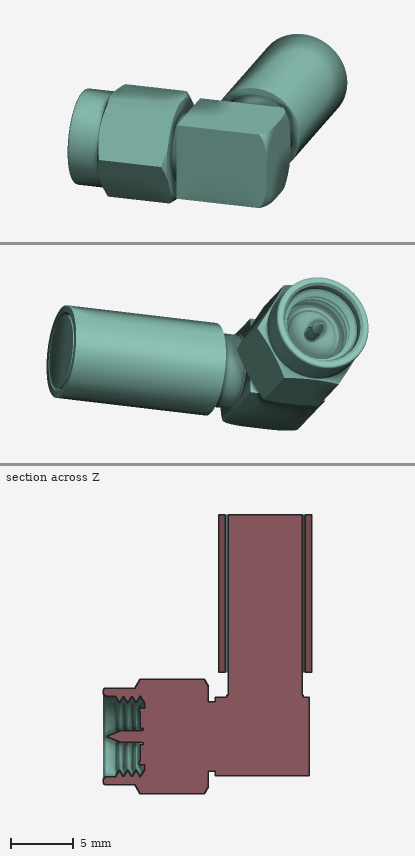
import cadquery as cq
import math


TAN_30 = math.tan(math.radians(30))

RING_DIAMETER = 7.8
RING_RADIUS = RING_DIAMETER / 2
RING_FILLET = 0.2
HEX_START = 2.55
HEX_END = 8.48
HEX_ACROSS_FLATS = 8.0
HEX_CORNER_RADIUS = HEX_ACROSS_FLATS / math.sqrt(3)
HEX_REAR_FACE_RADIUS = 4.07
HEX_FRONT_CHAMFER = (HEX_CORNER_RADIUS - RING_RADIUS) * TAN_30
HEX_REAR_CHAMFER = (HEX_CORNER_RADIUS - HEX_REAR_FACE_RADIUS) * TAN_30

THREAD_ROOT_RADIUS = 3.22
THREAD_CREST_RADIUS = 2.68
MOUTH_CHAMFER = 0.2
FIRST_CREST = 1.3
THREAD_START = FIRST_CREST - (THREAD_ROOT_RADIUS - THREAD_CREST_RADIUS) * TAN_30
THREAD_PITCH = 0.67
THREAD_GROOVES = 3
SOCKET_FLOOR = FIRST_CREST + THREAD_GROOVES * THREAD_PITCH

CONTACT_FACE = 2.88
CONTACT_RADIUS = 2.3
CONTACT_BORE_RADIUS = 2.07
INSULATOR_RADIUS = 1.93
INSULATOR_FACE = 2.97
PIN_TIP = 0.31
PIN_TIP_RADIUS = 0.05
PIN_TAPER_END = 1.35
PIN_RADIUS = 0.47
PIN_COLLAR_RADIUS = 0.55
PIN_RECESS_RADIUS = 0.65
PIN_RECESS_DEPTH = 0.22
PIN_COLLAR_LENGTH = 0.11
PIN_RECESS_FLOOR = INSULATOR_FACE + PIN_RECESS_DEPTH

NECK_RADIUS = 2.83
BLOCK_START = 9.02
BLOCK_END = 16.62
BLOCK_SIDE = 6.35
BLOCK_ROUNDING = 1.7
BLOCK_ENVELOPE_RADIUS = BLOCK_SIDE / 2 + BLOCK_ROUNDING

TOTAL_LENGTH_Y = 22.5
SLEEVE_RADIUS = 3.75
SLEEVE_BORE_RADIUS = 3.22
SLEEVE_AXIS_X = 13.05
SLEEVE_START = 5.15
SLEEVE_END = TOTAL_LENGTH_Y - HEX_CORNER_RADIUS
BARREL_RADIUS = 3.0
BARREL_COLLAR_RADIUS = 3.1
BARREL_COLLAR_HEIGHT = 0.15


def turned(profile):
    """Revolve a closed (x, radius) profile about the X axis."""
    return cq.Workplane("XY").polyline(profile).close().revolve(360, (0, 0, 0), (1, 0, 0))


def rod_x(start, end, radius):
    return cq.Workplane("YZ").workplane(offset=start).circle(radius).extrude(end - start)


def rod_y(start, end, radius):
    """Cylinder along +Y on the sleeve axis."""
    plane = cq.Plane(origin=(SLEEVE_AXIS_X, start, 0), xDir=(1, 0, 0), normal=(0, 1, 0))
    return cq.Workplane(plane).circle(radius).extrude(end - start)


def make_hexagon():
    """Hexagon with corners on +Y and -Y, chamfered at both ends."""
    hexagon = (
        cq.Workplane("YZ").workplane(offset=HEX_START)
        .polygon(6, 2 * HEX_CORNER_RADIUS).extrude(HEX_END - HEX_START)
    )
    envelope = turned([
        (HEX_START, 0),
        (HEX_START, RING_RADIUS),
        (HEX_START + HEX_FRONT_CHAMFER, HEX_CORNER_RADIUS),
        (HEX_END - HEX_REAR_CHAMFER, HEX_CORNER_RADIUS),
        (HEX_END, HEX_REAR_FACE_RADIUS),
        (HEX_END, 0),
    ])
    return hexagon.intersect(envelope)


def make_socket():
    """Cavity of the nut: chamfered mouth, plain entry, then V-shaped thread grooves."""
    profile = [
        (0, 0),
        (0, THREAD_ROOT_RADIUS + MOUTH_CHAMFER),
        (MOUTH_CHAMFER, THREAD_ROOT_RADIUS),
        (THREAD_START, THREAD_ROOT_RADIUS),
        (FIRST_CREST, THREAD_CREST_RADIUS),
    ]
    for groove in range(THREAD_GROOVES):
        crest = FIRST_CREST + groove * THREAD_PITCH
        profile.append((crest + THREAD_PITCH / 2, THREAD_ROOT_RADIUS))
        profile.append((crest + THREAD_PITCH, THREAD_CREST_RADIUS))
    profile.append((SOCKET_FLOOR, 0))
    return turned(profile)


def make_nut():
    ring = rod_x(0, HEX_START, RING_RADIUS).faces("<X").edges().fillet(RING_FILLET)
    return ring.union(make_hexagon()).cut(make_socket())


def make_contact():
    """Contact tube, insulator and pointed centre pin, standing on the socket floor."""
    return turned([
        (PIN_TIP, 0),
        (PIN_TIP, PIN_TIP_RADIUS),
        (PIN_TAPER_END, PIN_RADIUS),
        (PIN_RECESS_FLOOR - PIN_COLLAR_LENGTH, PIN_RADIUS),
        (PIN_RECESS_FLOOR - PIN_COLLAR_LENGTH, PIN_COLLAR_RADIUS),
        (PIN_RECESS_FLOOR, PIN_COLLAR_RADIUS),
        (PIN_RECESS_FLOOR, PIN_RECESS_RADIUS),
        (INSULATOR_FACE, PIN_RECESS_RADIUS),
        (INSULATOR_FACE, INSULATOR_RADIUS),
        (CONTACT_FACE, CONTACT_BORE_RADIUS),
        (CONTACT_FACE, CONTACT_RADIUS),
        (SOCKET_FLOOR, CONTACT_RADIUS),
        (SOCKET_FLOOR, 0),
    ])


def make_block():
    """Square elbow block with the corners of its +X end rounded by turning about X."""
    block = (
        cq.Workplane("YZ").workplane(offset=BLOCK_START)
        .rect(BLOCK_SIDE, BLOCK_SIDE).extrude(BLOCK_END - BLOCK_START)
    )
    envelope = (
        rod_x(BLOCK_START, BLOCK_END, BLOCK_ENVELOPE_RADIUS)
        .faces(">X").edges().fillet(BLOCK_ROUNDING)
    )
    return block.intersect(envelope)


def make_connector():
    block_top = BLOCK_SIDE / 2
    return (
        make_nut()
        .union(make_contact())
        .union(rod_x(HEX_END, BLOCK_START, NECK_RADIUS))
        .union(make_block())
        .union(rod_y(block_top, block_top + BARREL_COLLAR_HEIGHT, BARREL_COLLAR_RADIUS))
        .union(rod_y(block_top, SLEEVE_END, BARREL_RADIUS))
    )


def make_sleeve():
    """Plain crimp tube with clearance around the barrel."""
    tube = rod_y(SLEEVE_START, SLEEVE_END, SLEEVE_RADIUS)
    return tube.cut(rod_y(SLEEVE_START, SLEEVE_END, SLEEVE_BORE_RADIUS))


connector = make_connector()
sleeve = make_sleeve()

result = cq.Compound.makeCompound([connector.val(), sleeve.val()])